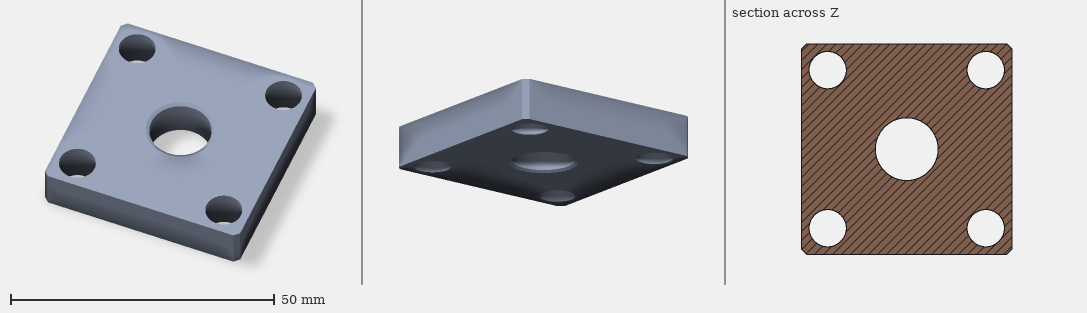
import cadquery as cq
import math

side = 40.0
thickness = 8.0
corner_chamfer = 1.0

mount_hole_diameter = 7.0
mount_hole_spacing = 30.0

bore_diameter = 11.85
countersink_diameter = 13.2
countersink_angle = 120.0
countersink_width = (countersink_diameter - bore_diameter) / 2
countersink_depth = countersink_width / math.tan(math.radians(countersink_angle / 2))


def make_plate():
    plate = cq.Workplane("XY").box(side, side, thickness)
    return plate.edges("|Z").chamfer(corner_chamfer)


def cut_mounting_holes(plate):
    return (
        plate.faces(">Z").workplane()
        .rect(mount_hole_spacing, mount_hole_spacing, forConstruction=True)
        .vertices()
        .hole(mount_hole_diameter)
    )


def cut_central_bore(plate):
    top = thickness / 2
    bore_end = top - countersink_depth
    bore_radius = bore_diameter / 2
    countersink_radius = countersink_diameter / 2
    bore = (
        cq.Workplane("XZ")
        .moveTo(0, -top)
        .lineTo(countersink_radius, -top)
        .lineTo(bore_radius, -bore_end)
        .lineTo(bore_radius, bore_end)
        .lineTo(countersink_radius, top)
        .lineTo(0, top)
        .close()
        .revolve(360, (0, 0), (0, 1))
    )
    return plate.cut(bore)


result = cut_central_bore(cut_mounting_holes(make_plate()))